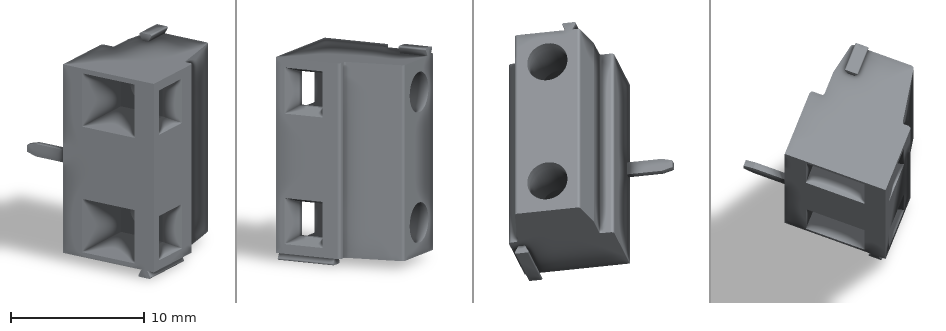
import cadquery as cq

body_width = 8.1
body_depth = 10.0
overall_height = 16.2
tab_height = 0.6
body_height = overall_height - 2 * tab_height
half_width = body_width / 2
half_height = body_height / 2

shoulder_depth = 5.41
left_shoulder = 1.07
left_taper_start = 7.42
right_shoulder = 0.71
left_top_inset = 1.57
right_top_inset = 1.54
outer_radius = 0.25
inner_radius = 0.16

terminal_pitch = 10.0
terminal_offset = terminal_pitch / 2
pocket_width = 4.7
pocket_height = 4.25
pocket_depth = shoulder_depth
screw_hole_diameter = 3.1

entry_depth = 2.0
entry_height = 2.65
entry_center_y = 2.32
throat_length = 0.35
flare_growth_depth = 0.6
flare_growth_height = 0.44

pin_length = 3.5
pin_width = 1.0
pin_thickness = 0.5
pin_offset_y = 0.49
pin_tip_length = 0.8
pin_tip_width = 0.57

tab_root_width = 0.53
tab_tip_width = 1.18
tab_tip_radius = 0.1
top_tab_x = -1.65
top_tab_length = 2.3
bottom_tab_x = 3.2
bottom_tab_length = 4.68


def make_housing():
    """Stepped and tapered outline extruded over the full height, with rounded corners."""
    left_front = -half_width + left_shoulder
    left_top = -half_width + left_top_inset
    right_front = half_width - right_shoulder
    right_top = half_width - right_top_inset
    outline = [
        (-half_width, 0),
        (half_width, 0),
        (half_width, shoulder_depth),
        (right_front, shoulder_depth),
        (right_top, body_depth),
        (left_top, body_depth),
        (left_front, left_taper_start),
        (left_front, shoulder_depth),
        (-half_width, shoulder_depth),
    ]
    base = cq.Workplane("XY", origin=(0, 0, -half_height))
    housing = base.polyline(outline).close().extrude(body_height)

    def round_corners(solid, corners, radius):
        for x, y in corners:
            edge = cq.selectors.NearestToPointSelector((x, y, 0))
            solid = solid.edges("|Z").edges(edge).fillet(radius)
        return solid

    outer_corners = [
        (-half_width, shoulder_depth),
        (half_width, shoulder_depth),
        (left_top, body_depth),
        (right_top, body_depth),
    ]
    inner_corners = [(left_front, shoulder_depth), (right_front, shoulder_depth)]
    housing = round_corners(housing, outer_corners, outer_radius)
    return round_corners(housing, inner_corners, inner_radius)


def make_terminal_cavity(z):
    """Pocket from the front face, screw hole through to the back, wire entry through +X."""
    front = cq.Workplane("XZ", origin=(0, 0, z))
    pocket = front.rect(pocket_width, pocket_height).extrude(-pocket_depth)
    screw_hole = front.circle(screw_hole_diameter / 2).extrude(-body_depth)

    throat_start = pocket_width / 2
    flare_start = throat_start + throat_length
    throat = (
        cq.Workplane("YZ", origin=(0, entry_center_y, z))
        .rect(entry_depth, entry_height)
        .extrude(flare_start)
    )
    flare = (
        cq.Workplane("YZ", origin=(flare_start, entry_center_y, z))
        .rect(entry_depth, entry_height)
        .workplane(offset=half_width - flare_start)
        .rect(entry_depth + 2 * flare_growth_depth, entry_height + 2 * flare_growth_height)
        .loft(ruled=True)
    )
    return pocket.union(screw_hole).union(throat).union(flare)


def make_pin():
    """Flat pin with a tapered tip, reaching out to -X at mid height."""
    tip_x = -half_width - pin_length
    taper_x = tip_x + pin_tip_length
    outline = [
        (-half_width, pin_width / 2),
        (taper_x, pin_width / 2),
        (tip_x, pin_tip_width / 2),
        (tip_x, -pin_tip_width / 2),
        (taper_x, -pin_width / 2),
        (-half_width, -pin_width / 2),
    ]
    return cq.Workplane("XZ", origin=(0, pin_offset_y, 0)).polyline(outline).close().extrude(-pin_thickness)


def make_tab(x, y_start, length, side):
    """Dovetail tab with rounded tip edges; side is +1 on the top end and -1 on the bottom end."""
    root_z = side * half_height
    tip_z = side * (half_height + tab_height)
    outline = [
        (x - tab_root_width / 2, root_z),
        (x - tab_tip_width / 2, tip_z),
        (x + tab_tip_width / 2, tip_z),
        (x + tab_root_width / 2, root_z),
    ]
    tab = cq.Workplane("XZ", origin=(0, y_start, 0)).polyline(outline).close().extrude(-length)
    tip_face = ">Z" if side > 0 else "<Z"
    return tab.faces(tip_face).edges("|Y").fillet(tab_tip_radius)


result = make_housing()
for terminal_z in (-terminal_offset, terminal_offset):
    result = result.cut(make_terminal_cavity(terminal_z))
result = result.union(make_pin())
result = result.union(make_tab(top_tab_x, body_depth - top_tab_length, top_tab_length, 1))
result = result.union(make_tab(bottom_tab_x, 0, bottom_tab_length, -1))